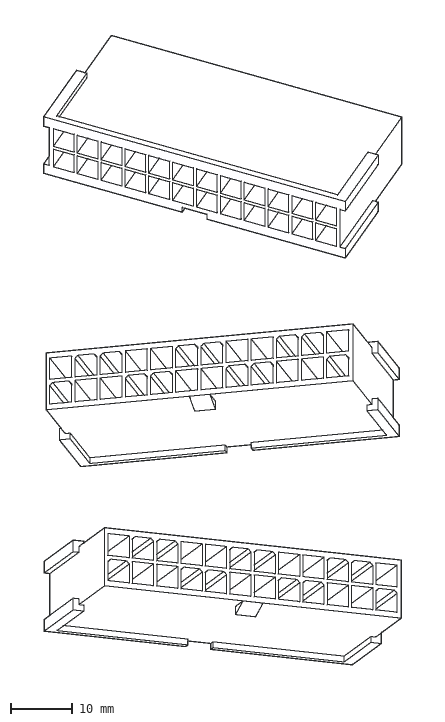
import cadquery as cq

length_y = 24.88
rim_width = 53.9
rim_step = 1.0
body_width = rim_width - 2 * rim_step
body_height = 9.9

rim_depth = 13.2
rim_front_bar = 1.1
rim_arm_width = 1.85
rim_height = 2 * rim_step

overall_height = 12.3
latch_width = 3.5
latch_length = 3.4
latch_drop = overall_height - body_height - rim_step
notch_width = 4.4

columns = 12
rows = 2
pitch_x = 4.26
pitch_z = 4.3
cell_shift_x = 0.07
cell_width = 3.7
cell_height = 3.7
key_chamfer = 0.5
key_start = rim_depth


def block(width, depth, height, x, y, z):
    """Box centred on x, starting at y and z."""
    box = cq.Workplane("XY").box(width, depth, height, centered=(True, False, False))
    return box.translate((x, y, z))


def make_rim(outer_z, body_z, inner_z):
    """C-shaped rim: a front bar and two side arms reaching beside the body.

    outer_z is the exposed face, body_z the body face it stands on and
    inner_z the far edge of the side arms.
    """
    bottom = min(outer_z, inner_z)
    rim = block(rim_width, rim_depth, rim_height, 0, 0, bottom)
    recess = block(
        rim_width - 2 * rim_arm_width,
        rim_depth - rim_front_bar,
        rim_step,
        0,
        rim_front_bar,
        min(outer_z, body_z),
    )
    return rim.cut(recess)


def make_latch():
    """Wedge under the rear edge, deepening toward the front."""
    profile = [
        (length_y, 0),
        (length_y - latch_length, 0),
        (length_y - latch_length, -latch_drop),
    ]
    return cq.Workplane("YZ").polyline(profile).close().extrude(latch_width / 2, both=True)


def is_keyed(column, row):
    """Keyed cells come in pairs, swapped between the two rows."""
    keyed_on_top = (column + 1) // 2 % 2 == 1
    return keyed_on_top == (row == 1)


def make_cell(column, row):
    """Through cell; behind the rims, keyed cells have both upper corners chamfered."""
    x = (column - (columns - 1) / 2) * pitch_x + cell_shift_x
    z = body_height / 2 + (row - (rows - 1) / 2) * pitch_z
    bottom = z - cell_height / 2
    front = block(cell_width, key_start, cell_height, x, 0, bottom)
    rear = block(cell_width, length_y - key_start, cell_height, x, key_start, bottom)
    if is_keyed(column, row):
        rear = rear.faces(">Z").edges("|Y").chamfer(key_chamfer)
    return front.union(rear)


body = block(body_width, length_y, body_height, 0, 0, 0)
top_rim = make_rim(body_height + rim_step, body_height, body_height + rim_step - rim_height)
bottom_rim = make_rim(-rim_step, 0, rim_height - rim_step)
notch = block(notch_width, rim_front_bar, rim_step, 0, 0, -rim_step)

result = body.union(top_rim).union(bottom_rim.cut(notch)).union(make_latch())
for column in range(columns):
    for row in range(rows):
        result = result.cut(make_cell(column, row))